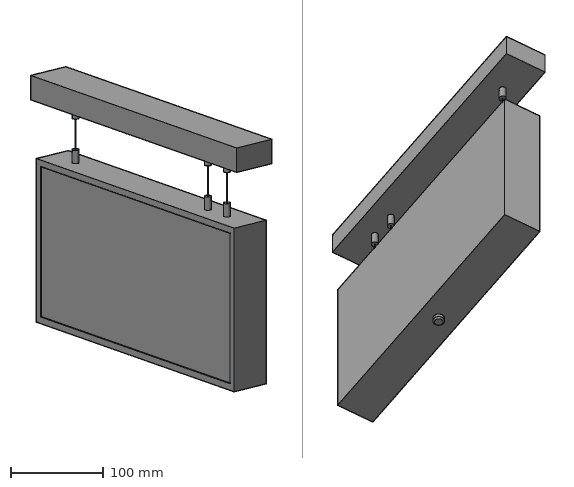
import cadquery as cq

rail_length = 348.0
rail_depth = 50.0
rail_height = 28.0

box_width = 334.0
box_depth = 45.5
box_height = 186.2
panel_width = 320.0
panel_height = 171.0
panel_recess = 1.7

hanging_gap = 65.5
wire_diameter = 1.2
ferrule_diameter = 7.5
ferrule_length = 15.0
outer_wire_x = 127.7
inner_wire_x = 95.7
wire_positions = (-outer_wire_x, inner_wire_x, outer_wire_x)

button_diameter = 13.0
button_height = 6.0
button_chamfer = 1.7

box_bottom = button_height
box_top = box_bottom + box_height
rail_bottom = box_top + hanging_gap


def upright_block(width, depth, height, bottom):
    """Block centred on the Z axis."""
    block = cq.Workplane("XY").box(width, depth, height, centered=(True, True, False))
    return block.translate((0, 0, bottom))


def upright_cylinder(diameter, height, x, bottom):
    """Vertical cylinder on the middle plane of the part."""
    cylinder = cq.Workplane("XY").circle(diameter / 2).extrude(height)
    return cylinder.translate((x, 0, bottom))


def sign_box():
    box = upright_block(box_width, box_depth, box_height, box_bottom)
    recess = upright_block(
        panel_width,
        panel_recess,
        panel_height,
        box_bottom + (box_height - panel_height) / 2,
    )
    front_offset = -(box_depth - panel_recess) / 2
    return box.cut(recess.translate((0, front_offset, 0)))


def suspension(x):
    wire = upright_cylinder(wire_diameter, hanging_gap, x, box_top)
    lower_ferrule = upright_cylinder(ferrule_diameter, ferrule_length, x, box_top)
    upper_ferrule = upright_cylinder(
        ferrule_diameter, ferrule_length, x, rail_bottom - ferrule_length
    )
    return wire.union(lower_ferrule).union(upper_ferrule)


def button():
    plain_button = upright_cylinder(button_diameter, button_height, 0, 0)
    return plain_button.faces("<Z").chamfer(button_chamfer)


result = sign_box().union(button())
for wire_x in wire_positions:
    result = result.union(suspension(wire_x))
result = result.union(upright_block(rail_length, rail_depth, rail_height, rail_bottom))